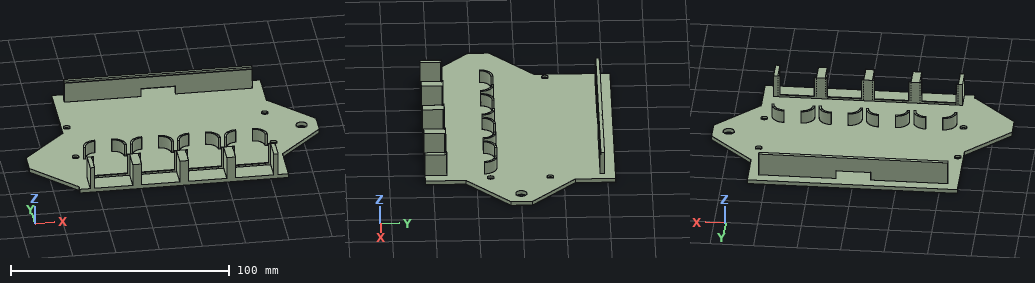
import cadquery as cq

OVERALL_LENGTH = 136.7
PLATE_DEPTH = 87.2
BODY_WIDTH = 96.6
PLATE_THICKNESS = 2.0
OVERALL_HEIGHT = 13.0
WING_REACH = (OVERALL_LENGTH - BODY_WIDTH) / 2
WING_HALF_ROOT = 25.0
LEFT_WING_Y = 27.3
RIGHT_WING_Y = PLATE_DEPTH / 2

HANG_HOLE_DIAMETER = 5.0
HANG_HOLE_INSET = 7.5
SCREW_DIAMETER = 3.0
SCREW_SPACING_X = 91.6
SCREW_SPACING_Y = 27.3
HEAD_DIAMETER = 4.4
HEAD_DEPTH = 1.0

BIN_COUNT = 4
BIN_ROW_LENGTH = 87.0
BIN_PITCH = BIN_ROW_LENGTH / BIN_COUNT
BIN_WALL = 2.0
BIN_OPENING = BIN_PITCH - 2 * BIN_WALL
BIN_DEPTH = 10.0
LIP_WIDTH = 1.0
LIP_THICKNESS = 0.5

CRADLE_OUTER_RADIUS = 6.0
CRADLE_THICKNESS = 1.0
CRADLE_HEIGHT = 6.0
CRADLE_FRONT_Y = 27.2
CRADLE_GAP = 7.8

REAR_WALL_BACK_Y = 82.2
REAR_WALL_THICKNESS = 2.0
REAR_STEP_DEPTH = 0.4
REAR_STEP_HEIGHT = 1.0
WINDOW_WIDTH = 16.0
WINDOW_HEIGHT = 4.0

WALL_HEIGHT = OVERALL_HEIGHT - PLATE_THICKNESS
BIN_CENTRES = [(i - (BIN_COUNT - 1) / 2) * BIN_PITCH for i in range(BIN_COUNT)]


def block(width, front_y, depth, bottom_z, height, centre_x=0):
    """Box centred on centre_x, growing toward +Y and +Z."""
    box = cq.Workplane("XY").box(width, depth, height, centered=(True, False, False))
    return box.translate((centre_x, front_y, bottom_z))


def wing(side, centre_y):
    """45 degree tapered wing on one end of the plate; side is -1 or 1."""
    root_x = side * BODY_WIDTH / 2
    tip_x = side * OVERALL_LENGTH / 2
    half_tip = WING_HALF_ROOT - WING_REACH
    corners = [
        (0, centre_y - WING_HALF_ROOT),
        (root_x, centre_y - WING_HALF_ROOT),
        (tip_x, centre_y - half_tip),
        (tip_x, centre_y + half_tip),
        (root_x, centre_y + WING_HALF_ROOT),
        (0, centre_y + WING_HALF_ROOT),
    ]
    return cq.Workplane("XY").polyline(corners).close().extrude(PLATE_THICKNESS)


def plate():
    body = block(BODY_WIDTH, 0, PLATE_DEPTH, 0, PLATE_THICKNESS)
    return body.union(wing(-1, LEFT_WING_Y)).union(wing(1, RIGHT_WING_Y))


def holes():
    """Hanging hole plus four screw holes with head recesses in the underside."""
    hang_x = OVERALL_LENGTH / 2 - HANG_HOLE_INSET
    cutter = (
        cq.Workplane("XY")
        .center(hang_x, RIGHT_WING_Y)
        .circle(HANG_HOLE_DIAMETER / 2)
        .extrude(PLATE_THICKNESS)
    )
    screws = (
        cq.Workplane("XY")
        .center(0, PLATE_DEPTH / 2)
        .rect(SCREW_SPACING_X, SCREW_SPACING_Y, forConstruction=True)
        .vertices()
    )
    cutter = cutter.union(screws.circle(SCREW_DIAMETER / 2).extrude(PLATE_THICKNESS))
    return cutter.union(screws.circle(HEAD_DIAMETER / 2).extrude(HEAD_DEPTH))


def bin_row():
    """Bins open at the front and top, each with a thin U-shaped lip at its back."""
    row = block(BIN_ROW_LENGTH, 0, BIN_DEPTH, PLATE_THICKNESS, WALL_HEIGHT)
    for x in BIN_CENTRES:
        row = row.cut(block(BIN_OPENING, 0, BIN_DEPTH - LIP_THICKNESS, PLATE_THICKNESS, WALL_HEIGHT, x))
        row = row.cut(
            block(BIN_OPENING - 2 * LIP_WIDTH, 0, BIN_DEPTH, PLATE_THICKNESS + LIP_WIDTH, WALL_HEIGHT, x)
        )
    return row


def cradle(centre_x, side):
    """Quarter ring on one side of a bin's centre line; side is -1 or 1."""
    axis_x = centre_x + side * CRADLE_GAP / 2
    ring = (
        cq.Workplane("XY", origin=(axis_x, CRADLE_FRONT_Y, PLATE_THICKNESS))
        .circle(CRADLE_OUTER_RADIUS)
        .circle(CRADLE_OUTER_RADIUS - CRADLE_THICKNESS)
        .extrude(CRADLE_HEIGHT)
    )
    quadrant = block(
        CRADLE_OUTER_RADIUS,
        CRADLE_FRONT_Y,
        CRADLE_OUTER_RADIUS,
        PLATE_THICKNESS,
        CRADLE_HEIGHT,
        axis_x + side * CRADLE_OUTER_RADIUS / 2,
    )
    return ring.intersect(quadrant)


def rear_wall():
    front_y = REAR_WALL_BACK_Y - REAR_WALL_THICKNESS
    wall = block(BIN_ROW_LENGTH, front_y, REAR_WALL_THICKNESS, PLATE_THICKNESS, WALL_HEIGHT)
    step = block(
        BIN_ROW_LENGTH, front_y, REAR_STEP_DEPTH, OVERALL_HEIGHT - REAR_STEP_HEIGHT, REAR_STEP_HEIGHT
    )
    window = block(WINDOW_WIDTH, front_y, REAR_WALL_THICKNESS, PLATE_THICKNESS, WINDOW_HEIGHT)
    return wall.cut(step).cut(window)


result = plate().cut(holes()).union(bin_row()).union(rear_wall())
for bin_x in BIN_CENTRES:
    result = result.union(cradle(bin_x, -1)).union(cradle(bin_x, 1))